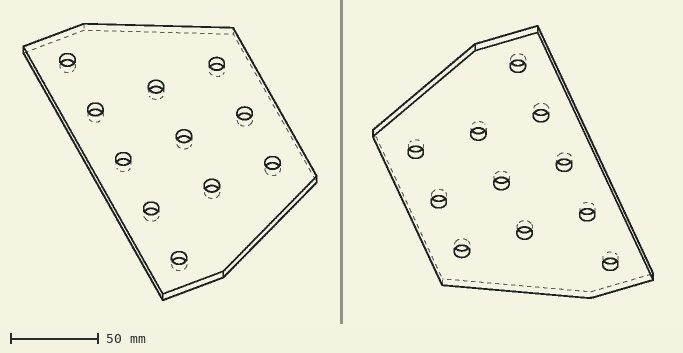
import cadquery as cq

pitch = 38.1
thickness = 6.3
hole_diameter = 8.8
base_columns = 5
upper_columns = 3
rows = 3

base_width = base_columns * pitch
top_width = upper_columns * pitch
depth = rows * pitch
shoulder_height = pitch


def row_points(columns, row):
    """Hole centres of one row, centred on X = 0; row 0 is nearest the base edge."""
    y = (row + 0.5) * pitch
    return [((column - (columns - 1) / 2) * pitch, y) for column in range(columns)]


outline = [
    (-base_width / 2, 0),
    (base_width / 2, 0),
    (base_width / 2, shoulder_height),
    (top_width / 2, depth),
    (-top_width / 2, depth),
    (-base_width / 2, shoulder_height),
]
plate = cq.Workplane("XY").polyline(outline).close().extrude(thickness)

hole_centres = row_points(base_columns, 0)
for upper_row in range(1, rows):
    hole_centres += row_points(upper_columns, upper_row)

holes = cq.Workplane("XY").pushPoints(hole_centres).circle(hole_diameter / 2).extrude(thickness)

result = plate.cut(holes)